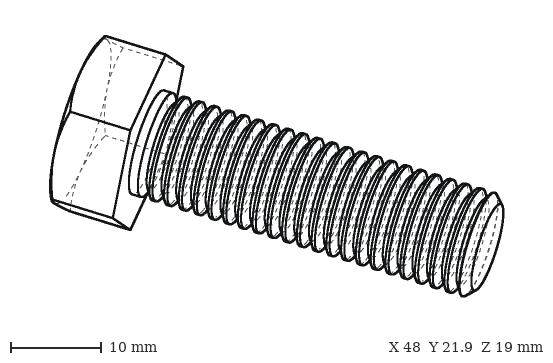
import cadquery as cq
import math

total_length = 47.95
head_height = 7.95
across_flats = 19.0
across_corners = across_flats / math.cos(math.radians(30))
head_chamfer_angle = 30.0

shank_diameter = 12.0
end_chamfer = 1.0
groove_count = 22
groove_depth = 0.95
crest_width = 0.4

shank_radius = shank_diameter / 2
shank_length = total_length - head_height
pitch = shank_length / (groove_count + 1)
groove_half_width = (pitch - crest_width) / 2


def revolve_about_x(points):
    """Revolve a closed outline of (x, radius) points about the X axis."""
    return cq.Workplane("XY").polyline(points).close().revolve(360, (0, 0), (1, 0))


def make_head():
    """Hexagonal prism with corners on +-Y, its outer corners cut back by a cone."""
    prism = cq.Workplane("YZ").polygon(6, across_corners).extrude(head_height)
    face_radius = across_flats / 2
    cone_radius = face_radius + head_height / math.tan(math.radians(head_chamfer_angle))
    cone = revolve_about_x([(0, 0), (0, face_radius), (head_height, cone_radius), (head_height, 0)])
    return prism.intersect(cone)


def make_shank():
    """Shank with a row of V grooves in place of a helical thread."""
    outline = [(head_height, 0), (head_height, shank_radius)]
    for index in range(1, groove_count + 1):
        root_x = head_height + index * pitch
        outline.append((root_x - groove_half_width, shank_radius))
        outline.append((root_x, shank_radius - groove_depth))
        outline.append((root_x + groove_half_width, shank_radius))
    outline.append((total_length - end_chamfer, shank_radius))
    outline.append((total_length, shank_radius - end_chamfer))
    outline.append((total_length, 0))
    return revolve_about_x(outline)


result = make_head().union(make_shank())